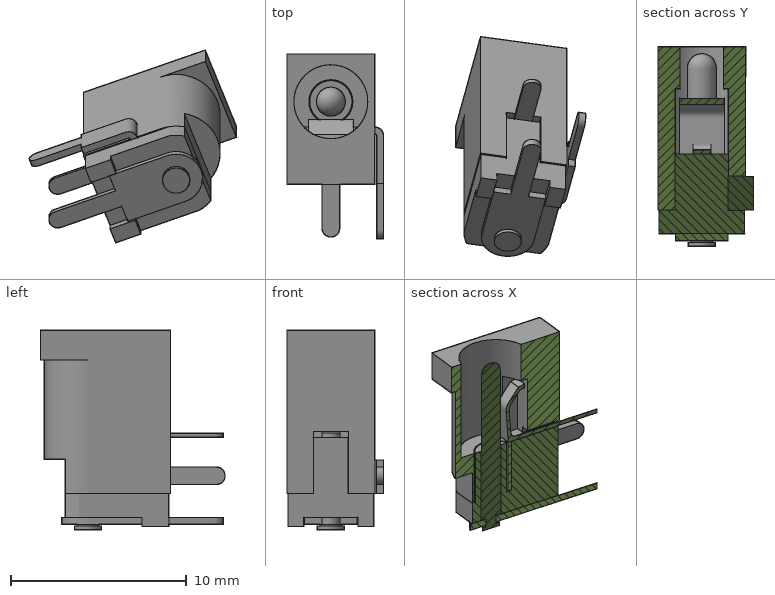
import cadquery as cq
import math


BODY_HALF_WIDTH = 2.5
BODY_FRONT_Y = -4.7
FLANGE_BACK_Y = 2.71
FLANGE_BOTTOM_Z = -1.7
BODY_BOTTOM_Z = -9.3
BACK_FLAT_Y = 1.3
BACK_FLAT_TOP_Z = -7.35
BORE_RADIUS = 2.1
BORE_FLOOR_Z = -6.1
BOSS_HOLE_RADIUS = 1.25
FRONT_SLOT_HALF_WIDTH = 1.0
FRONT_SLOT_TOP_Z = -5.77
POCKET_HALF_WIDTH = 1.5
POCKET_INNER_Y = -1.44
POCKET_OUTER_Y = -2.5
POCKET_TOP_Z = -2.4

BASE_HALF_WIDTH = 2.45
BASE_FRONT_Y = -4.6
BASE_BOTTOM_Z = -10.65
FOOT_BOTTOM_Z = -11.17
FOOT_BACK_Y = -3.07
FOOT_GAP_HALF_WIDTH = 1.53
TONGUE_HALF_WIDTH = 0.975
BOSS_RADIUS = 1.2

PIN_RADIUS = 0.825
PIN_TIP_Z = -0.4
PIN_NECK_RADIUS = 0.625
RIVET_RADIUS = 0.775
RIVET_TOP_Z = -11.13
RIVET_BOTTOM_Z = -11.35

LEAD_WIDTH = 1.02
LEAD_END_Y = -7.7

PIN_TERMINAL_RADIUS = 1.5
PIN_TERMINAL_THICKNESS = 0.4
PIN_TERMINAL_FRONT_Y = -3.5

SPRING_HALF_WIDTH = 1.28
SPRING_THICKNESS = 0.25
SPRING_APEX_Y = -1.02
SPRING_BEND_RADIUS = 0.7
SPRING_BEND_Z = -4.0
LEAF_LEAN = 4.0
RAMP_TILT = 40.0
RAMP_TOP_Y = -1.87
TIP_RISE = 9.5
TIP_END_Y = -2.3
SPRING_LEAD_FILLET = 0.3

SIDE_TERMINAL_THICKNESS = 0.4
SIDE_TERMINAL_OUTER_X = 3.0
SIDE_TERMINAL_TOP_Z = -7.37
SIDE_INNER_BEND_RADIUS = 0.1
SIDE_PLATE_FRONT_Y = -4.65
SIDE_LEAD_Z = -8.28
SIDE_LEAD_WIDTH = 1.0
SIDE_LEAD_END_Y = -7.8


def block(x_min, x_max, y_min, y_max, z_min, z_max):
    size = (x_max - x_min, y_max - y_min, z_max - z_min)
    return cq.Workplane("XY").box(*size, centered=False).translate((x_min, y_min, z_min))


def centred_block(half_width, y_min, y_max, z_min, z_max):
    return block(-half_width, half_width, y_min, y_max, z_min, z_max)


def cylinder(radius, z_min, z_max):
    return cq.Workplane("XY").workplane(offset=z_min).circle(radius).extrude(z_max - z_min)


def round_ended_lead(width, end_y, start_y, thickness):
    """Flat lead along Y with its upper face at Z = 0 and a full round at the -Y end."""
    radius = width / 2
    return (
        cq.Workplane("XY")
        .moveTo(radius, start_y)
        .lineTo(-radius, start_y)
        .lineTo(-radius, end_y + radius)
        .threePointArc((0, end_y), (radius, end_y + radius))
        .close()
        .extrude(-thickness)
    )


def round_backed_body(half_width, front_y, back_y, z_min, z_max):
    """Straight sides running into a round back that is concentric with the socket."""
    length_limit = centred_block(half_width, front_y, back_y, z_min, z_max)
    straight = centred_block(half_width, front_y, 0, z_min, z_max)
    return straight.union(cylinder(BODY_HALF_WIDTH, z_min, z_max).intersect(length_limit))


def make_housing():
    flange = centred_block(BODY_HALF_WIDTH, BODY_FRONT_Y, FLANGE_BACK_Y, FLANGE_BOTTOM_Z, 0)
    upper = round_backed_body(
        BODY_HALF_WIDTH, BODY_FRONT_Y, BODY_HALF_WIDTH, BACK_FLAT_TOP_Z, FLANGE_BOTTOM_Z
    )
    lower = round_backed_body(
        BODY_HALF_WIDTH, BODY_FRONT_Y, BACK_FLAT_Y, BODY_BOTTOM_Z, BACK_FLAT_TOP_Z
    )
    bore = cylinder(BORE_RADIUS, BORE_FLOOR_Z, 0)
    boss_hole = cylinder(BOSS_HOLE_RADIUS, BODY_BOTTOM_Z, BORE_FLOOR_Z)
    pocket = centred_block(
        POCKET_HALF_WIDTH, POCKET_OUTER_Y, POCKET_INNER_Y, BODY_BOTTOM_Z, POCKET_TOP_Z
    )
    front_slot = centred_block(
        FRONT_SLOT_HALF_WIDTH, BODY_FRONT_Y, POCKET_OUTER_Y, BODY_BOTTOM_Z, FRONT_SLOT_TOP_Z
    )
    side_slot = block(
        POCKET_HALF_WIDTH, BODY_HALF_WIDTH,
        POCKET_INNER_Y - SIDE_TERMINAL_THICKNESS, POCKET_INNER_Y,
        BODY_BOTTOM_Z, SIDE_TERMINAL_TOP_Z,
    )
    housing = flange.union(upper).union(lower)
    for opening in (bore, boss_hole, pocket, front_slot, side_slot):
        housing = housing.cut(opening)
    return housing


def make_base():
    slab = round_backed_body(
        BASE_HALF_WIDTH, BASE_FRONT_Y, BACK_FLAT_Y, BASE_BOTTOM_Z, BODY_BOTTOM_Z
    )
    feet = centred_block(BASE_HALF_WIDTH, BASE_FRONT_Y, FOOT_BACK_Y, FOOT_BOTTOM_Z, BASE_BOTTOM_Z)
    foot_gap = centred_block(
        FOOT_GAP_HALF_WIDTH, BASE_FRONT_Y, FOOT_BACK_Y, FOOT_BOTTOM_Z, BASE_BOTTOM_Z
    )
    tongue = centred_block(
        TONGUE_HALF_WIDTH, BASE_FRONT_Y, POCKET_OUTER_Y, BODY_BOTTOM_Z, BORE_FLOOR_Z
    )
    pocket_plug = centred_block(
        POCKET_HALF_WIDTH, POCKET_OUTER_Y, POCKET_INNER_Y, BODY_BOTTOM_Z, BORE_FLOOR_Z
    )
    boss = cylinder(BOSS_RADIUS, BODY_BOTTOM_Z, BORE_FLOOR_Z)
    pin_hole = cylinder(PIN_RADIUS, BASE_BOTTOM_Z, BORE_FLOOR_Z)
    base = slab.union(feet.cut(foot_gap))
    for riser in (tongue, pocket_plug, boss):
        base = base.union(riser)
    return base.cut(pin_hole)


def make_center_pin():
    dome_z = PIN_TIP_Z - PIN_RADIUS
    dome_mid = PIN_RADIUS * math.sqrt(0.5)
    return (
        cq.Workplane("XZ")
        .moveTo(0, RIVET_BOTTOM_Z)
        .lineTo(RIVET_RADIUS, RIVET_BOTTOM_Z)
        .lineTo(RIVET_RADIUS, RIVET_TOP_Z)
        .lineTo(PIN_NECK_RADIUS, RIVET_TOP_Z)
        .lineTo(PIN_NECK_RADIUS, BASE_BOTTOM_Z)
        .lineTo(PIN_RADIUS, BASE_BOTTOM_Z)
        .lineTo(PIN_RADIUS, dome_z)
        .threePointArc((dome_mid, dome_z + dome_mid), (0, PIN_TIP_Z))
        .close()
        .revolve(360, (0, 0, 0), (0, 1, 0))
    )


def make_pin_terminal():
    bottom_z = BASE_BOTTOM_Z - PIN_TERMINAL_THICKNESS
    plate = centred_block(PIN_TERMINAL_RADIUS, PIN_TERMINAL_FRONT_Y, 0, bottom_z, BASE_BOTTOM_Z)
    disc = cylinder(PIN_TERMINAL_RADIUS, bottom_z, BASE_BOTTOM_Z)
    lead = round_ended_lead(
        LEAD_WIDTH, LEAD_END_Y, PIN_TERMINAL_FRONT_Y, PIN_TERMINAL_THICKNESS
    ).translate((0, 0, BASE_BOTTOM_Z))
    neck_hole = cylinder(PIN_NECK_RADIUS, bottom_z, BASE_BOTTOM_Z)
    return plate.union(disc).union(lead).cut(neck_hole)


def make_spring_contact():
    """Leaf leaning toward the pin, bent back into a ramp with a flatter tip, plus its lead."""
    center_y = SPRING_APEX_Y - SPRING_BEND_RADIUS
    inner_radius = SPRING_BEND_RADIUS - SPRING_THICKNESS
    lean = math.radians(LEAF_LEAN)
    ramp = math.radians(RAMP_TILT)
    rise = math.radians(TIP_RISE)

    def on_bend(radius, angle):
        return center_y + radius * math.cos(angle), SPRING_BEND_Z + radius * math.sin(angle)

    def leaf_foot(radius):
        y, z = on_bend(radius, -lean)
        return y - (z - BORE_FLOOR_Z) * math.tan(lean), BORE_FLOOR_Z

    ramp_end_y, ramp_end_z = on_bend(SPRING_BEND_RADIUS, ramp)
    top_corner = (RAMP_TOP_Y, ramp_end_z + (ramp_end_y - RAMP_TOP_Y) / math.tan(ramp))
    tip_normal = math.pi / 2 - rise
    mitre_angle = (ramp + tip_normal) / 2
    mitre_length = SPRING_THICKNESS / math.cos((tip_normal - ramp) / 2)
    under_corner = (
        top_corner[0] - mitre_length * math.cos(mitre_angle),
        top_corner[1] - mitre_length * math.sin(mitre_angle),
    )

    def tip_end(corner):
        return TIP_END_Y, corner[1] + (corner[0] - TIP_END_Y) * math.tan(rise)

    leaf = (
        cq.Workplane("YZ")
        .workplane(offset=-SPRING_HALF_WIDTH)
        .moveTo(*leaf_foot(SPRING_BEND_RADIUS))
        .lineTo(*on_bend(SPRING_BEND_RADIUS, -lean))
        .threePointArc((SPRING_APEX_Y, SPRING_BEND_Z), on_bend(SPRING_BEND_RADIUS, ramp))
        .lineTo(*top_corner)
        .lineTo(*tip_end(top_corner))
        .lineTo(*tip_end(under_corner))
        .lineTo(*under_corner)
        .lineTo(*on_bend(inner_radius, ramp))
        .threePointArc((center_y + inner_radius, SPRING_BEND_Z), on_bend(inner_radius, -lean))
        .lineTo(*leaf_foot(inner_radius))
        .close()
        .extrude(2 * SPRING_HALF_WIDTH)
    )

    lead_top_z = BORE_FLOOR_Z + SPRING_THICKNESS
    lead_start_y = (leaf_foot(SPRING_BEND_RADIUS)[0] + leaf_foot(inner_radius)[0]) / 2
    lead = round_ended_lead(LEAD_WIDTH, LEAD_END_Y, lead_start_y, SPRING_THICKNESS)
    lead = lead.translate((0, 0, lead_top_z))
    corner_y = leaf_foot(inner_radius)[0] + SPRING_THICKNESS * math.tan(lean)
    corner = cq.selectors.NearestToPointSelector((0, corner_y, lead_top_z))
    return leaf.union(lead).edges(corner).fillet(SPRING_LEAD_FILLET)


def make_side_terminal():
    """Plate that leaves the housing sideways, turns toward -Y and narrows to a lead."""
    inner_x = SIDE_TERMINAL_OUTER_X - SIDE_TERMINAL_THICKNESS
    outer_radius = SIDE_INNER_BEND_RADIUS + SIDE_TERMINAL_THICKNESS
    tab_front_y = POCKET_INNER_Y - SIDE_TERMINAL_THICKNESS
    plate = (
        cq.Workplane("XY")
        .workplane(offset=BODY_BOTTOM_Z)
        .moveTo(POCKET_HALF_WIDTH, POCKET_INNER_Y)
        .lineTo(SIDE_TERMINAL_OUTER_X - outer_radius, POCKET_INNER_Y)
        .radiusArc((SIDE_TERMINAL_OUTER_X, POCKET_INNER_Y - outer_radius), outer_radius)
        .lineTo(SIDE_TERMINAL_OUTER_X, SIDE_PLATE_FRONT_Y)
        .lineTo(inner_x, SIDE_PLATE_FRONT_Y)
        .lineTo(inner_x, tab_front_y - SIDE_INNER_BEND_RADIUS)
        .radiusArc((inner_x - SIDE_INNER_BEND_RADIUS, tab_front_y), -SIDE_INNER_BEND_RADIUS)
        .lineTo(POCKET_HALF_WIDTH, tab_front_y)
        .close()
        .extrude(SIDE_TERMINAL_TOP_Z - BODY_BOTTOM_Z)
    )
    flat_lead = round_ended_lead(
        SIDE_LEAD_WIDTH, SIDE_LEAD_END_Y, SIDE_PLATE_FRONT_Y, SIDE_TERMINAL_THICKNESS
    )
    lead = flat_lead.rotate((0, 0, 0), (0, 1, 0), 90).translate((SIDE_TERMINAL_OUTER_X, 0, SIDE_LEAD_Z))
    return plate.union(lead)


housing = make_housing()
base = make_base()
center_pin = make_center_pin()
pin_terminal = make_pin_terminal()
spring_contact = make_spring_contact()
side_terminal = make_side_terminal()

result = cq.Compound.makeCompound(
    [
        housing.val(),
        base.val(),
        center_pin.val(),
        pin_terminal.val(),
        spring_contact.val(),
        side_terminal.val(),
    ]
)